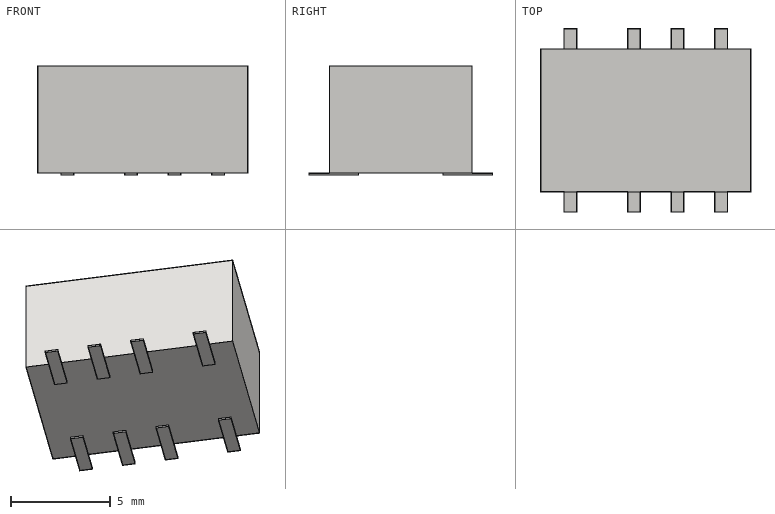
import cadquery as cq

overall_width = 9.24
overall_height = 5.5

housing_length = 10.6
housing_width = 7.2

terminal_thickness = 0.1
terminal_width = 0.65
terminal_length = 2.5
terminal_pitch = 2.19
wide_pitch = 3.2

housing_height = overall_height - terminal_thickness
row_span = wide_pitch + 2 * terminal_pitch
first_x = -row_span / 2
terminal_xs = [first_x] + [first_x + wide_pitch + i * terminal_pitch for i in range(3)]
row_y = (overall_width - terminal_length) / 2


def make_housing():
    """Plain block whose underside rests on the terminals at Z = 0."""
    return cq.Workplane("XY").box(
        housing_length, housing_width, housing_height, centered=(True, True, False)
    )


def make_terminal(x, y):
    """Flat strip centred at (x, y), with its top face against the housing."""
    return (
        cq.Workplane("XY")
        .box(terminal_width, terminal_length, terminal_thickness, centered=(True, True, False))
        .translate((x, y, -terminal_thickness))
    )


housing = make_housing()
terminals = [make_terminal(x, y) for y in (-row_y, row_y) for x in terminal_xs]

result = cq.Compound.makeCompound([housing.val(), *[terminal.val() for terminal in terminals]])